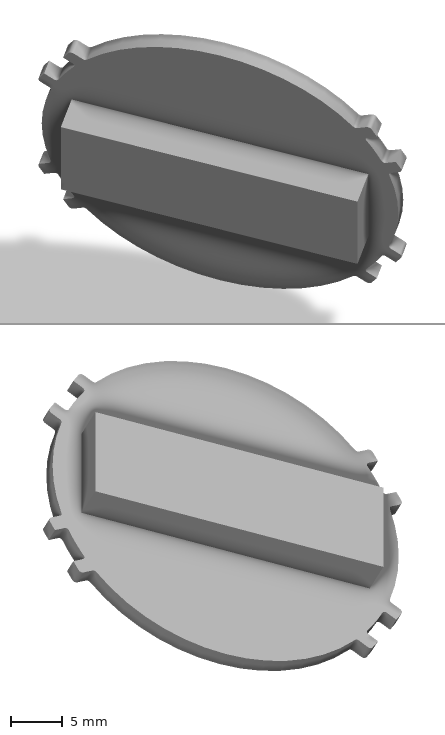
import cadquery as cq
import math

disc_radius = 18.03
plate_thickness = 1.6

grip_length = 30.0
grip_height = 10.0
grip_depth = 3.5

pair_angles = (30, 150, 210, 330)
tab_gap = 3.82
tab_width = 1.47
tab_tip = 19.42
tab_round = 0.4
root_fillet = 0.33

tab_inner_side = tab_gap / 2
tab_outer_side = tab_inner_side + tab_width
tab_start = disc_radius / 2


def make_tab(side):
    """One tab pointing along +X; side is +1 or -1 across the pair's axis."""
    tab = (
        cq.Workplane("XZ")
        .center((tab_start + tab_tip) / 2, side * (tab_inner_side + tab_outer_side) / 2)
        .rect(tab_tip - tab_start, tab_width)
        .extrude(-plate_thickness)
    )
    outer_corner = ">X and >Z" if side > 0 else ">X and <Z"
    return tab.edges("|Y").edges(outer_corner).fillet(tab_round)


def make_plate():
    """Disc with its tab pairs, all tab roots filleted."""
    plate = cq.Workplane("XZ").circle(disc_radius).extrude(-plate_thickness)
    for angle in pair_angles:
        for side in (-1, 1):
            tab = make_tab(side).rotate((0, 0, 0), (0, 1, 0), -angle)
            plate = plate.union(tab)

    tolerance = 0.005
    roots = plate.edges("|Y").filter(
        lambda edge: abs(math.hypot(edge.Center().x, edge.Center().z) - disc_radius) < tolerance
        and abs(edge.Center().z) > tolerance
    )
    return roots.fillet(root_fillet)


def make_grip():
    return cq.Workplane("XZ").rect(grip_length, grip_height).extrude(grip_depth)


result = make_plate().union(make_grip())